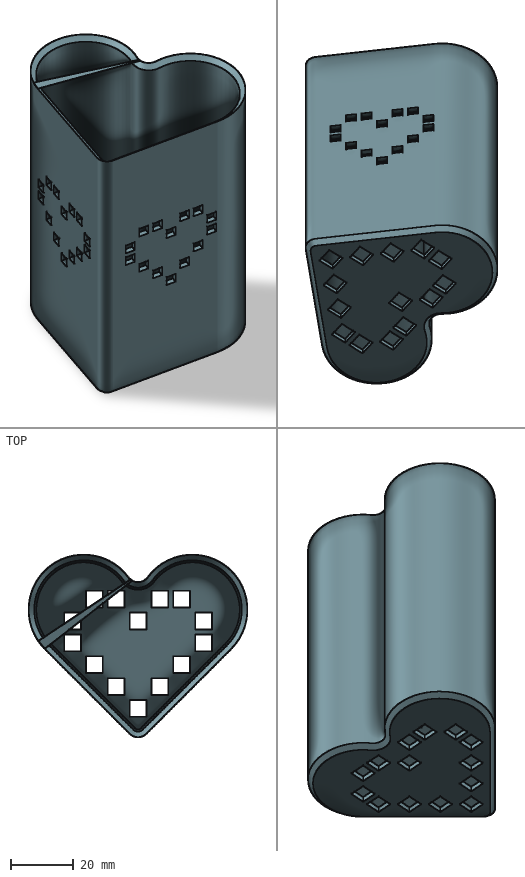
import cadquery as cq
import math

HEIGHT = 100.0
LOBE_RADIUS = 17.7
LOBE_X = 17.4
TIP_RADIUS = 3.7
NOTCH_RADIUS = 3.9

WALL = 1.8
FLOOR = 2.0
BASE_CHAMFER = 1.6
INNER_CHAMFER = 0.7
RIM_SLOPE_DEPTH = 1.6
WEB_THICKNESS = 0.1
WEB_LOBE_ANGLES = (-145.5, -135.0)
WEB_NOTCH_ANGLES = (-118.0, -128.0)

HEART_PIXELS = [
    (-2, 0), (-1, 0), (1, 0), (2, 0),
    (-3, 1), (0, 1), (3, 1),
    (-3, 2), (3, 2),
    (-2, 3), (2, 3),
    (-1, 4), (1, 4),
    (0, 5),
]
FLOOR_PITCH = 7.0
FLOOR_OPENING = 5.3
FLOOR_TOP_ROW_Y = 3.4
WALL_PITCH = 5.0
WALL_OPENING = 3.3
WALL_TOP_ROW_Z = 65.0
WALL_HEART_FROM_CORNER = 25.2

CUT_REACH = 2.0

DIAGONAL = math.sqrt(0.5)
SIDE_DISTANCE = LOBE_X * DIAGONAL + LOBE_RADIUS
CORNER_Y = -SIDE_DISTANCE / DIAGONAL
TIP_Y = CORNER_Y + TIP_RADIUS / DIAGONAL
NOTCH_Y = math.sqrt((LOBE_RADIUS + NOTCH_RADIUS) ** 2 - LOBE_X ** 2)
NOTCH_ANGLE = math.atan2(NOTCH_Y, LOBE_X)


def heart_wire(inset, z):
    """Closed heart outline, moved inwards by inset, at height z."""
    lobe = LOBE_RADIUS - inset
    tip = TIP_RADIUS - inset
    notch = NOTCH_RADIUS + inset
    side_x = LOBE_X + lobe * DIAGONAL
    shoulder_y = lobe * DIAGONAL
    tip_x = tip * DIAGONAL
    tip_side_y = TIP_Y - tip * DIAGONAL
    joint_x = LOBE_X - lobe * math.cos(NOTCH_ANGLE)
    joint_y = lobe * math.sin(NOTCH_ANGLE)
    outline = (
        cq.Workplane("XY", origin=(0, 0, z))
        .moveTo(tip_x, tip_side_y)
        .lineTo(side_x, -shoulder_y)
        .threePointArc((side_x, shoulder_y), (joint_x, joint_y))
        .threePointArc((0, NOTCH_Y - notch), (-joint_x, joint_y))
        .threePointArc((-side_x, shoulder_y), (-side_x, -shoulder_y))
        .lineTo(-tip_x, tip_side_y)
        .threePointArc((0, TIP_Y - tip), (tip_x, tip_side_y))
        .close()
    )
    return outline.val()


def heart_prism(inset, bottom, top):
    wire = heart_wire(inset, bottom)
    return cq.Workplane(cq.Solid.extrudeLinear(wire, [], cq.Vector(0, 0, top - bottom)))


def heart_taper(bottom_inset, bottom, top_inset, top):
    wires = [heart_wire(bottom_inset, bottom), heart_wire(top_inset, top)]
    return cq.Workplane(cq.Solid.makeLoft(wires, True))


def shell():
    """Hollow heart with a chamfered base and a rim that slopes inwards to a sharp outer edge."""
    inner_floor_edge = FLOOR + INNER_CHAMFER
    rim_start = HEIGHT - RIM_SLOPE_DEPTH
    body = heart_taper(BASE_CHAMFER, 0, 0, BASE_CHAMFER).union(heart_prism(0, BASE_CHAMFER, HEIGHT))
    cavity = (
        heart_taper(WALL + INNER_CHAMFER, FLOOR, WALL, inner_floor_edge)
        .union(heart_prism(WALL, inner_floor_edge, rim_start))
        .union(heart_taper(WALL, rim_start, 0, HEIGHT))
    )
    return body.cut(cavity)


def point_on_circle(center_x, center_y, radius, degrees):
    angle = math.radians(degrees)
    return (center_x + radius * math.cos(angle), center_y + radius * math.sin(angle))


def web():
    """Thin flat strip level with the rim, narrowing from the left lobe to the notch."""
    lobe_end = [point_on_circle(-LOBE_X, 0, LOBE_RADIUS, angle) for angle in WEB_LOBE_ANGLES]
    notch_end = [point_on_circle(0, NOTCH_Y, NOTCH_RADIUS, angle) for angle in WEB_NOTCH_ANGLES]
    return (
        cq.Workplane("XY", origin=(0, 0, HEIGHT - WEB_THICKNESS))
        .polyline(lobe_end + notch_end)
        .close()
        .extrude(WEB_THICKNESS)
        .intersect(heart_prism(0, 0, HEIGHT))
    )


def pixel_heart(workplane, pitch, size, top_row, depth):
    """Square bars on a pixel-heart grid, reaching depth to both sides of the plane."""
    centres = [(column * pitch, top_row - row * pitch) for column, row in HEART_PIXELS]
    return workplane.pushPoints(centres).rect(size, size).extrude(depth, both=True)


def floor_openings():
    return pixel_heart(cq.Workplane("XY"), FLOOR_PITCH, FLOOR_OPENING, FLOOR_TOP_ROW_Y, CUT_REACH * FLOOR)


def wall_openings(side):
    """Openings through the straight wall on the given side: -1 for left, 1 for right."""
    offset = WALL_HEART_FROM_CORNER * DIAGONAL
    plane = cq.Plane(
        origin=(side * offset, CORNER_Y + offset, 0),
        xDir=(1, side, 0),
        normal=(side, -1, 0),
    )
    return pixel_heart(cq.Workplane(plane), WALL_PITCH, WALL_OPENING, WALL_TOP_ROW_Z, CUT_REACH * WALL)


result = shell().union(web()).cut(floor_openings())
for wall_side in (-1, 1):
    result = result.cut(wall_openings(wall_side))